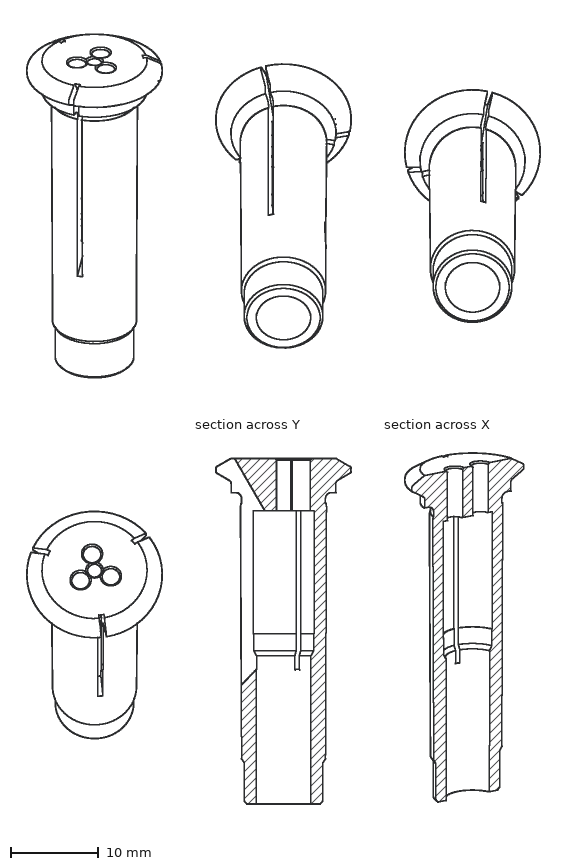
import cadquery as cq
import math

total_height = 39.5

cone_tilt = math.radians(60)
rim_radius = 7.75
rim_top = 38.3
rim_bottom = 38.05
rim_round = 0.3
rim_edge_radius = rim_radius - rim_round * (1 - math.cos(cone_tilt))
rim_edge_top = rim_top + rim_round * math.sin(cone_tilt)
rim_edge_bottom = rim_bottom - rim_round * math.sin(cone_tilt)
head_top_radius = rim_edge_radius - (total_height - rim_edge_top) * math.tan(cone_tilt)

collar_radius = 6.0
collar_bottom = 35.55
collar_fillet = 0.4
collar_fillet_radius = collar_radius + collar_fillet * (1 - math.cos(cone_tilt))
collar_fillet_top = rim_edge_bottom - (rim_edge_radius - collar_fillet_radius) / math.tan(cone_tilt)
collar_top = collar_fillet_top - collar_fillet * math.sin(cone_tilt)

neck_radius = 4.8
neck_fillet = 0.65
neck_bottom = 34.35
neck_ledge_radius = 4.85

body_top_radius = 4.95
body_top = 34.0
body_bottom_radius = 4.8
body_bottom = 5.17

tail_radius = 4.5
tail_top = 4.7
tail_chamfer = 0.3

bore_top = 33.5
upper_bore_radius = 3.48
upper_bore_bottom = 19.47
middle_bore_radius = 3.4
cone_top = 17.5
cone_bottom = 16.95
lower_bore_radius = 6.2 / 2

center_hole_diameter = 1.58
side_hole_diameter = 2.0
side_hole_pitch_radius = 2.0
hole_chamfer = 0.2

sector_count = 3
slot_width = 0.6
slot_floor_top_radius = 5.6
slot_floor_tilt = math.radians(30)
slot_bottom = 13.63
runout_top = 15.4
slot_outer_radius = rim_radius + 0.4


def sector_angles(first_angle):
    """Angles of the features repeated around the axis."""
    return [first_angle + i * 360.0 / sector_count for i in range(sector_count)]


def outer_solid():
    """Turned outside of the collet, before boring and slotting."""
    return (
        cq.Workplane("XZ")
        .moveTo(0, 0)
        .lineTo(tail_radius - tail_chamfer, 0)
        .lineTo(tail_radius, tail_chamfer)
        .lineTo(tail_radius, tail_top)
        .lineTo(body_bottom_radius, body_bottom)
        .lineTo(body_top_radius, body_top)
        .lineTo(neck_ledge_radius, neck_bottom)
        .lineTo(neck_radius, neck_bottom)
        .lineTo(neck_radius, collar_bottom - neck_fillet)
        .radiusArc((neck_radius + neck_fillet, collar_bottom), neck_fillet)
        .lineTo(collar_radius, collar_bottom)
        .lineTo(collar_radius, collar_top)
        .radiusArc((collar_fillet_radius, collar_fillet_top), collar_fillet)
        .lineTo(rim_edge_radius, rim_edge_bottom)
        .radiusArc((rim_radius, rim_bottom), -rim_round)
        .lineTo(rim_radius, rim_top)
        .radiusArc((rim_edge_radius, rim_edge_top), -rim_round)
        .lineTo(head_top_radius, total_height)
        .lineTo(0, total_height)
        .close()
        .revolve(360, (0, 0, 0), (0, 1, 0))
    )


def bore():
    """Stepped bore that narrows towards the tail."""
    return (
        cq.Workplane("XZ")
        .moveTo(0, 0)
        .lineTo(lower_bore_radius, 0)
        .lineTo(lower_bore_radius, cone_bottom)
        .lineTo(middle_bore_radius, cone_top)
        .lineTo(middle_bore_radius, upper_bore_bottom)
        .lineTo(upper_bore_radius, upper_bore_bottom)
        .lineTo(upper_bore_radius, bore_top)
        .lineTo(0, bore_top)
        .close()
        .revolve(360, (0, 0, 0), (0, 1, 0))
    )


def head_hole(diameter, x, y):
    """Hole from the top face into the bore, with a chamfered mouth."""
    radius = diameter / 2
    return (
        cq.Workplane("XZ")
        .moveTo(0, bore_top)
        .lineTo(radius, bore_top)
        .lineTo(radius, total_height - hole_chamfer)
        .lineTo(radius + hole_chamfer, total_height)
        .lineTo(0, total_height)
        .close()
        .revolve(360, (0, 0, 0), (0, 1, 0))
        .translate((x, y, 0))
    )


def slot():
    """Saw slot along +X: sloped floor in the head, sloped runout at the lower end."""
    floor_depth = total_height - bore_top
    floor_bottom_radius = slot_floor_top_radius - floor_depth * math.tan(slot_floor_tilt)
    return (
        cq.Workplane("XZ")
        .moveTo(slot_floor_top_radius, total_height)
        .lineTo(floor_bottom_radius, bore_top)
        .lineTo(floor_bottom_radius, runout_top)
        .lineTo(lower_bore_radius, runout_top)
        .lineTo(body_bottom_radius, slot_bottom)
        .lineTo(slot_outer_radius, slot_bottom)
        .lineTo(slot_outer_radius, total_height)
        .close()
        .extrude(slot_width / 2, both=True)
    )


result = outer_solid().cut(bore()).cut(head_hole(center_hole_diameter, 0, 0))

for angle in sector_angles(0):
    hole_x = side_hole_pitch_radius * math.cos(math.radians(angle))
    hole_y = side_hole_pitch_radius * math.sin(math.radians(angle))
    result = result.cut(head_hole(side_hole_diameter, hole_x, hole_y))

for angle in sector_angles(180.0 / sector_count):
    result = result.cut(slot().rotate((0, 0, 0), (0, 0, 1), angle))